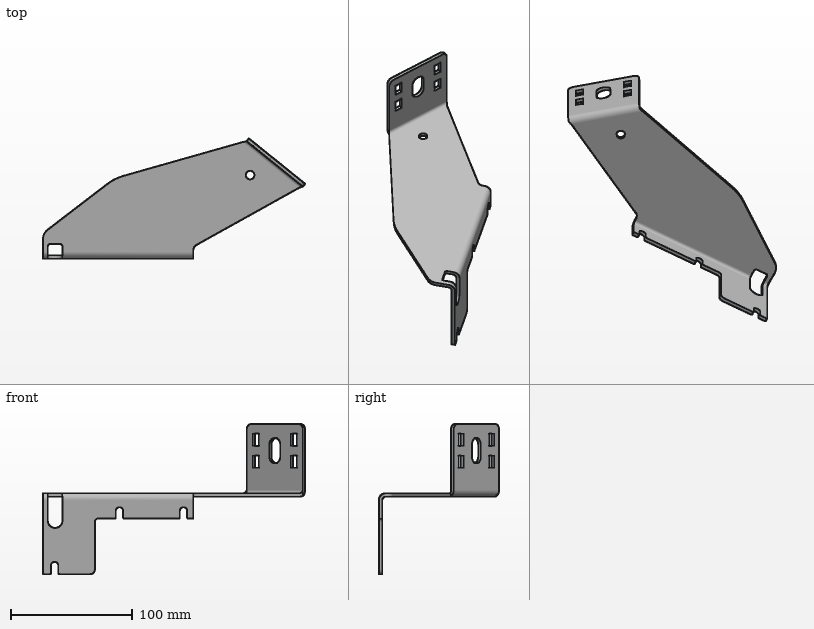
import cadquery as cq
import math


total_length = 216.1
total_depth = 99.2

thickness = 3.0
bend_inner = 2.5
bend_outer = bend_inner + thickness

flange_width = 59.7
flange_height = 57.0
flange_turn = 38.9
flange_corner_radius = 5.0
flange_left_end = (
    total_length - flange_width * math.cos(math.radians(flange_turn)),
    total_depth,
)
left_overhang = 2.2
right_inset = 1.7

flange_slot_width = 11.7
flange_slot_height = 21.0
window_width = 6.3
window_height = 10.0
window_pitch_across = 40.2
window_pitch_up = 18.0
flange_hole_centre = 35.0

left_corner_y = 21.0
left_corner_radius = 10.0
knee = (59.2, 66.4)
knee_radius = 40.0
right_corner_y = 10.0
right_corner_radius = 5.0
plate_hole_centre = (170.7, 69.0)
plate_hole_diameter = 7.0

leg_length = 124.0
deep_length = 43.0
deep_bottom = -66.8
shallow_bottom = -21.0
leg_corner_radius = 3.9
leg_inner_radius = 2.5
leg_edge_radius = 1.0

notch_width = 5.8
deep_notch_x = 9.7
deep_notch_top = -56.6
shallow_notches_x = (63.1, 115.8)
shallow_notch_top = -11.7

wrap_slot_width = 11.9
wrap_slot_x = 10.2
wrap_slot_bottom = -28.5
wrap_slot_back = 12.0
wrap_slot_corner_radius = 2.0


def rounded_outline(plane, corners):
    """Closed wire through (u, v, radius) corners, each rounded where radius > 0."""
    pieces = []
    count = len(corners)
    for i, (u, v, radius) in enumerate(corners):
        corner = cq.Vector(u, v)
        if radius == 0:
            pieces.append([corner])
            continue
        before = (cq.Vector(*corners[i - 1][:2]) - corner).normalized()
        after = (cq.Vector(*corners[(i + 1) % count][:2]) - corner).normalized()
        half_angle = before.getAngle(after) / 2
        tangent = radius / math.tan(half_angle)
        to_arc = radius / math.sin(half_angle) - radius
        middle = corner + (before + after).normalized() * to_arc
        pieces.append([corner + before * tangent, middle, corner + after * tangent])

    wire = cq.Workplane(plane).moveTo(*pieces[0][-1].toTuple()[:2])
    for piece in pieces[1:] + pieces[:1]:
        wire = wire.lineTo(*piece[0].toTuple()[:2])
        if len(piece) > 1:
            wire = wire.threePointArc(piece[1].toTuple()[:2], piece[2].toTuple()[:2])
    return wire.close()


def bent_strip(length, edge_y, inward, rise, start_x):
    """Quarter bend and upright along X.

    The outer face lies at edge_y, the plate lies in the inward direction (+1 or
    -1 along Y), and the upright ends at height rise, above or below the plate.
    """
    upward = 1 if rise > 0 else -1
    outer_level = -thickness if rise > 0 else 0
    inner_level = outer_level + upward * thickness
    centre_y = edge_y + inward * bend_outer
    centre_z = outer_level + upward * bend_outer
    diagonal = math.sqrt(0.5)

    def on_bend(radius):
        return (centre_y - inward * radius * diagonal, centre_z - upward * radius * diagonal)

    inner_y = edge_y + inward * thickness
    return (
        cq.Workplane("YZ", origin=(start_x, 0, 0))
        .moveTo(centre_y, outer_level)
        .threePointArc(on_bend(bend_outer), (edge_y, centre_z))
        .lineTo(edge_y, rise)
        .lineTo(inner_y, rise)
        .lineTo(inner_y, centre_z)
        .threePointArc(on_bend(bend_inner), (centre_y, inner_level))
        .close()
        .extrude(length)
    )


def flange_to_plan(along, outward):
    """Plan position of a point given along and outward from the flange's outer face."""
    turn = math.radians(flange_turn)
    x = flange_left_end[0] + along * math.cos(turn) + outward * math.sin(turn)
    y = flange_left_end[1] - along * math.sin(turn) + outward * math.cos(turn)
    return (x, y)


def make_plate():
    bend_right = flange_to_plan(flange_width - right_inset, -bend_outer)
    bend_left = flange_to_plan(-left_overhang, -bend_outer)
    corners = [
        (0, bend_outer, 0),
        (leg_length, bend_outer, 0),
        (leg_length, right_corner_y, right_corner_radius),
        (*bend_right, 0),
        (*bend_left, 0),
        (*knee, knee_radius),
        (0, left_corner_y, left_corner_radius),
    ]
    plate = rounded_outline("XY", corners).extrude(-thickness)
    hole = (
        cq.Workplane("XY")
        .center(*plate_hole_centre)
        .circle(plate_hole_diameter / 2)
        .extrude(-thickness)
    )
    return plate.cut(hole)


def notch_cutter(centre_x, top, bottom):
    """Round-topped notch running through the leg and out of its lower edge."""
    radius = notch_width / 2
    return (
        cq.Workplane("XZ")
        .moveTo(centre_x - radius, bottom)
        .lineTo(centre_x - radius, top - radius)
        .threePointArc((centre_x, top), (centre_x + radius, top - radius))
        .lineTo(centre_x + radius, bottom)
        .close()
        .extrude(-thickness)
    )


def make_leg():
    strip = bent_strip(leg_length, 0, 1, deep_bottom, 0)
    corners = [
        (0, 0, 0),
        (0, deep_bottom, leg_edge_radius),
        (deep_length, deep_bottom, leg_corner_radius),
        (deep_length, shallow_bottom, leg_inner_radius),
        (leg_length, shallow_bottom, 0),
        (leg_length, 0, 0),
    ]
    leg = strip.intersect(rounded_outline("XZ", corners).extrude(-bend_outer))
    leg = leg.cut(notch_cutter(deep_notch_x, deep_notch_top, deep_bottom))
    for x in shallow_notches_x:
        leg = leg.cut(notch_cutter(x, shallow_notch_top, shallow_bottom))

    half = notch_width / 2
    mouths = [(deep_notch_x, deep_bottom)]
    mouths += [(x, shallow_bottom) for x in shallow_notches_x]
    for centre_x, z in mouths:
        for x in (centre_x - half, centre_x + half):
            edge = cq.NearestToPointSelector((x, thickness / 2, z))
            leg = leg.edges(edge).fillet(leg_edge_radius)
    return leg


def make_wrap_slot():
    """Cutter for the slot that runs from the plate over the bend and down the leg."""
    left = wrap_slot_x - wrap_slot_width / 2
    right = wrap_slot_x + wrap_slot_width / 2
    arc_centre_z = wrap_slot_bottom + wrap_slot_width / 2
    plate_part = rounded_outline("XY", [
        (left, 0, 0),
        (right, 0, 0),
        (right, wrap_slot_back, wrap_slot_corner_radius),
        (left, wrap_slot_back, wrap_slot_corner_radius),
    ]).extrude(arc_centre_z)
    round_end = (
        cq.Workplane("XZ")
        .center(wrap_slot_x, arc_centre_z)
        .circle(wrap_slot_width / 2)
        .extrude(-thickness)
    )
    return plate_part.union(round_end)


def make_flange():
    """Flange built along X with its outer face at Y = 0, then moved into place."""
    strip = bent_strip(flange_width + left_overhang, 0, -1, flange_height, -left_overhang)

    plan = (
        cq.Workplane("XY", origin=(0, 0, -thickness))
        .polyline([
            (0, 0),
            (flange_width, 0),
            (flange_width, -thickness),
            (flange_width - right_inset, -bend_outer),
            (-left_overhang, -bend_outer),
            (0, -thickness),
        ])
        .close()
        .extrude(flange_height + thickness)
    )
    flange = strip.intersect(plan)
    flange = flange.edges("|Y").edges(">Z").edges("<X or >X").fillet(flange_corner_radius)

    face = cq.Workplane("XZ").center(flange_width / 2, flange_hole_centre)
    slot = face.slot2D(flange_slot_height, flange_slot_width, 90).extrude(thickness)
    windows = (
        face.rarray(window_pitch_across, window_pitch_up, 2, 2)
        .rect(window_width, window_height)
        .extrude(thickness)
    )
    flange = flange.cut(slot).cut(windows)
    return flange.rotate((0, 0, 0), (0, 0, 1), -flange_turn).translate((*flange_left_end, 0))


result = make_plate().union(make_leg()).union(make_flange()).cut(make_wrap_slot())